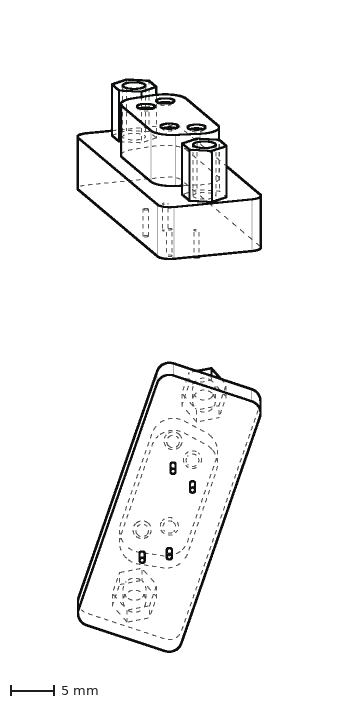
import cadquery as cq
import math

base_length = 31.2
base_width = 12.5
base_height = 6.25
base_corner_radius = 1.5

total_height = 15.6
pin_length = 3.2
shell_height = total_height - pin_length - base_height
shell_depth = 8.0
shell_mean_width = 16.05
shell_side_angle = 10.0
shell_corner_radius = 2.6

post_spacing = 25.0
post_flats = 4.52
post_bore_diameter = 2.62

contact_pitch = 2.78
row_spacing = 2.85
pin_diameter = 0.62
socket_diameter = 1.47
socket_mouth_diameter = 2.1
socket_depth = 0.35

top_z = base_height + shell_height
contact_points = [
    (side * columns * contact_pitch, row * row_spacing / 2)
    for row, columns in ((1, 2.0), (-1, 1.5))
    for side in (-1, 1)
]
post_points = [(-post_spacing / 2, 0), (post_spacing / 2, 0)]


def make_base():
    block = cq.Workplane("XY").box(base_length, base_width, base_height, centered=(True, True, False))
    return block.edges("|Z").fillet(base_corner_radius)


def make_shell():
    taper = shell_depth / 2 * math.tan(math.radians(shell_side_angle))
    wide_half = shell_mean_width / 2 + taper
    narrow_half = shell_mean_width / 2 - taper
    half_depth = shell_depth / 2
    outline = [
        (-wide_half, half_depth),
        (wide_half, half_depth),
        (narrow_half, -half_depth),
        (-narrow_half, -half_depth),
    ]
    shell = cq.Workplane("XY", origin=(0, 0, base_height)).polyline(outline).close().extrude(shell_height)
    return shell.edges("|Z").fillet(shell_corner_radius)


def make_posts():
    across_corners = post_flats / math.cos(math.pi / 6)
    return (
        cq.Workplane("XY", origin=(0, 0, base_height))
        .pushPoints(post_points)
        .polygon(6, across_corners)
        .circle(post_bore_diameter / 2)
        .extrude(shell_height)
    )


def make_pins():
    return cq.Workplane("XY").pushPoints(contact_points).circle(pin_diameter / 2).extrude(-pin_length)


def make_socket(x, y):
    return (
        cq.Workplane("XY", origin=(x, y, top_z))
        .circle(socket_mouth_diameter / 2)
        .workplane(offset=-socket_depth)
        .circle(socket_diameter / 2)
        .loft()
    )


result = make_base().union(make_shell()).union(make_posts()).union(make_pins())
for contact_x, contact_y in contact_points:
    result = result.cut(make_socket(contact_x, contact_y))